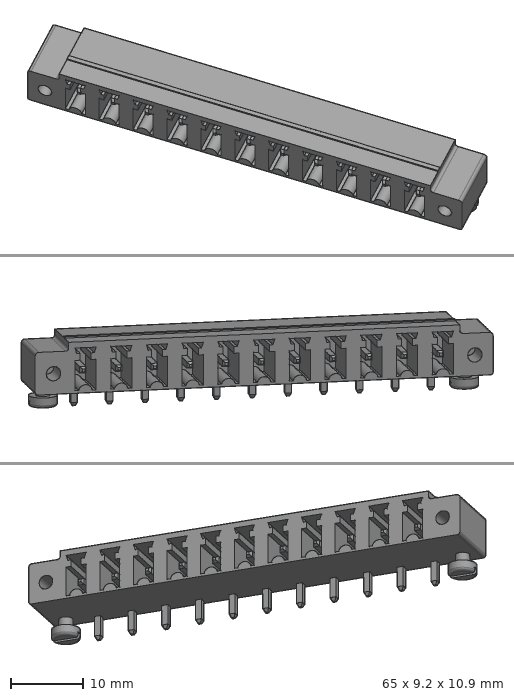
import cadquery as cq
import math

LENGTH = 65.0
DEPTH = 9.2
TOTAL_HEIGHT = 10.9
EAR_HEIGHT = 6.05
EAR_LENGTH = 4.75
EAR_TOP_RADIUS = 0.5
EAR_BOTTOM_RADIUS = 0.4
STEP_RADIUS = 0.45
BODY_HEIGHT = 7.3
BODY_LENGTH = LENGTH - 2 * EAR_LENGTH

RIB_HEIGHT = 0.2
RIB_WIDTH = 0.65
RIB_Y = 3.2

PIN_COUNT = 11
PITCH = 5.1
PIN_SIZE = 0.9
PIN_TIP_INSET = 0.25
PIN_TIP_LENGTH = 0.5
PIN_HEIGHT = 2.9
PIN_FRONT_Y = 1.3
PIN_DROP_Y = 8.05
PIN_BOTTOM = BODY_HEIGHT + RIB_HEIGHT - TOTAL_HEIGHT

POCKET_DEPTH = 7.15
POCKET_WIDTH = 3.0
POCKET_BOTTOM = 0.4
POCKET_SHOULDER = 4.7
NECK_WIDTH = 1.55
NECK_TOP = 5.65
KEYWAY_BOTTOM_WIDTH = 2.5
KEYWAY_TOP = 6.45
FLOOR_RIDGE_WIDTH = 1.95
FLOOR_RIDGE_HEIGHT = 0.8

EAR_HOLE_INSET = 2.6
EAR_HOLE_X = LENGTH / 2 - EAR_HOLE_INSET
EAR_HOLE_DIAMETER = 2.0
EAR_HOLE_DEPTH = 4.55
EAR_HOLE_Z = 2.9

SCREW_Y = 7.1
SHANK_DIAMETER = 2.0
SHANK_LENGTH = 1.55
HEAD_DIAMETER = 4.0
HEAD_HEIGHT = 1.5
HEAD_EDGE_RADIUS = 0.4
SLOT_WIDTH = 0.65
SLOT_DEPTH = 0.8

OVERLAP = 0.3


def box_between(x_centre, x_size, y_start, y_end, z_start, z_end):
    return (
        cq.Workplane("XY", origin=(x_centre, (y_start + y_end) / 2, z_start))
        .box(x_size, y_end - y_start, z_end - z_start, centered=(True, True, False))
    )


def make_housing():
    ears = box_between(0, LENGTH, 0, DEPTH, 0, EAR_HEIGHT)
    body = box_between(0, BODY_LENGTH, 0, DEPTH, 0, BODY_HEIGHT)
    ears = ears.edges("|Y and >Z").fillet(EAR_TOP_RADIUS)
    ears = ears.edges("|Y and <Z").fillet(EAR_BOTTOM_RADIUS)
    step = cq.selectors.BoxSelector(
        (-BODY_LENGTH / 2 - OVERLAP, -OVERLAP, EAR_HEIGHT - OVERLAP),
        (BODY_LENGTH / 2 + OVERLAP, DEPTH + OVERLAP, EAR_HEIGHT + OVERLAP),
    )
    housing = ears.union(body)
    return housing.edges("|Y").edges(step).fillet(STEP_RADIUS)


def make_rib():
    return box_between(
        0, BODY_LENGTH, RIB_Y - RIB_WIDTH / 2, RIB_Y + RIB_WIDTH / 2,
        BODY_HEIGHT - OVERLAP, BODY_HEIGHT + RIB_HEIGHT,
    )


def make_pocket(x):
    """Pocket with a dovetail keyway above a narrow neck and a round ridge on its floor."""
    half_width = POCKET_WIDTH / 2
    half_neck = NECK_WIDTH / 2
    half_ridge = FLOOR_RIDGE_WIDTH / 2
    half_keyway = KEYWAY_BOTTOM_WIDTH / 2
    return (
        cq.Workplane("XZ", origin=(x, 0, 0))
        .moveTo(half_ridge, POCKET_BOTTOM)
        .lineTo(half_width, POCKET_BOTTOM)
        .lineTo(half_width, POCKET_SHOULDER)
        .lineTo(half_neck, POCKET_SHOULDER)
        .lineTo(half_neck, NECK_TOP)
        .lineTo(half_keyway, NECK_TOP)
        .lineTo(half_width, KEYWAY_TOP)
        .lineTo(-half_width, KEYWAY_TOP)
        .lineTo(-half_keyway, NECK_TOP)
        .lineTo(-half_neck, NECK_TOP)
        .lineTo(-half_neck, POCKET_SHOULDER)
        .lineTo(-half_width, POCKET_SHOULDER)
        .lineTo(-half_width, POCKET_BOTTOM)
        .lineTo(-half_ridge, POCKET_BOTTOM)
        .threePointArc((0, POCKET_BOTTOM + FLOOR_RIDGE_HEIGHT), (half_ridge, POCKET_BOTTOM))
        .close()
        .extrude(-POCKET_DEPTH)
    )


def square_pin(base, length):
    """Square pin from the base workplane along its normal, ending in a tapered tip."""
    tip_taper = math.degrees(math.atan2(PIN_TIP_INSET, PIN_TIP_LENGTH))
    shaft_length = length - PIN_TIP_LENGTH
    shaft = base.rect(PIN_SIZE, PIN_SIZE).extrude(shaft_length)
    tip_base = base.workplane(offset=shaft_length)
    tip = tip_base.rect(PIN_SIZE, PIN_SIZE).extrude(PIN_TIP_LENGTH, taper=tip_taper)
    return shaft.union(tip)


def make_pin(x):
    """Contact that runs level in its pocket and drops out of the underside."""
    root_y = POCKET_DEPTH + OVERLAP
    level = square_pin(cq.Workplane("XZ", origin=(x, root_y, PIN_HEIGHT)), root_y - PIN_FRONT_Y)
    drop_base = cq.Workplane("XY", origin=(x, PIN_DROP_Y, OVERLAP)).transformed(rotate=(180, 0, 0))
    drop = square_pin(drop_base, OVERLAP - PIN_BOTTOM)
    return level, drop


def make_ear_hole(x):
    return (
        cq.Workplane("XZ", origin=(x, 0, EAR_HOLE_Z))
        .circle(EAR_HOLE_DIAMETER / 2)
        .extrude(-EAR_HOLE_DEPTH)
    )


def make_screw(x):
    head_bottom = -SHANK_LENGTH - HEAD_HEIGHT
    head = (
        cq.Workplane("XY", origin=(x, SCREW_Y, head_bottom))
        .circle(HEAD_DIAMETER / 2)
        .extrude(HEAD_HEIGHT)
        .faces("<Z").edges().fillet(HEAD_EDGE_RADIUS)
    )
    slot = box_between(
        x, HEAD_DIAMETER, SCREW_Y - SLOT_WIDTH / 2, SCREW_Y + SLOT_WIDTH / 2,
        head_bottom, head_bottom + SLOT_DEPTH,
    )
    shank = (
        cq.Workplane("XY", origin=(x, SCREW_Y, -SHANK_LENGTH))
        .circle(SHANK_DIAMETER / 2)
        .extrude(SHANK_LENGTH + OVERLAP)
    )
    return head.cut(slot).union(shank)


result = make_housing().union(make_rib())

for index in range(PIN_COUNT):
    pin_x = (index - (PIN_COUNT - 1) / 2) * PITCH
    level_pin, drop_pin = make_pin(pin_x)
    result = result.cut(make_pocket(pin_x)).union(level_pin).union(drop_pin)

for hole_x in (-EAR_HOLE_X, EAR_HOLE_X):
    result = result.cut(make_ear_hole(hole_x)).union(make_screw(hole_x))